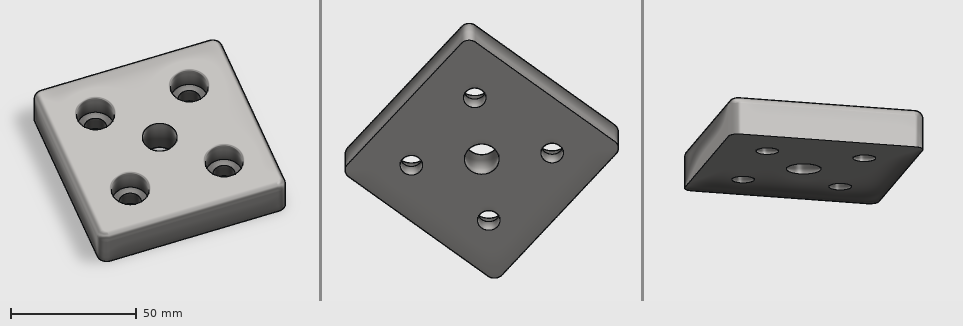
import cadquery as cq

side = 80.0
thickness = 16.0
corner_radius = 4.0
top_edge_radius = 3.0

center_hole_diameter = 13.8
screw_spacing = side / 2
screw_hole_diameter = 9.0
counterbore_diameter = 15.0
counterbore_depth = 9.0
rim_diameter = 17.0


def rounded_plate():
    """Square plate with its bottom at Z = 0, round corners and a rounded top edge."""
    plate = cq.Workplane("XY").box(side, side, thickness, centered=(True, True, False))
    plate = plate.edges("|Z").fillet(corner_radius)
    return plate.faces(">Z").edges().fillet(top_edge_radius)


def center_hole():
    return cq.Workplane("XY").circle(center_hole_diameter / 2).extrude(thickness)


def screw_hole_cutters():
    """Four counterbored through holes, each with a rounded rim at the top face."""
    hole_radius = screw_hole_diameter / 2
    bore_radius = counterbore_diameter / 2
    rim_radius = rim_diameter / 2
    rim_rounding = rim_radius - bore_radius
    bore_floor = thickness - counterbore_depth
    half_profile = (
        cq.Workplane("XZ")
        .moveTo(0, 0)
        .lineTo(hole_radius, 0)
        .lineTo(hole_radius, bore_floor)
        .lineTo(bore_radius, bore_floor)
        .lineTo(bore_radius, thickness - rim_rounding)
        .radiusArc((rim_radius, thickness), rim_rounding)
        .lineTo(0, thickness)
        .close()
    )
    cutter = half_profile.revolve(360, (0, 0, 0), (0, 1, 0)).val()
    grid = cq.Workplane("XY").rarray(screw_spacing, screw_spacing, 2, 2)
    return grid.eachpoint(lambda location: cutter.moved(location))


result = rounded_plate().cut(center_hole()).cut(screw_hole_cutters())